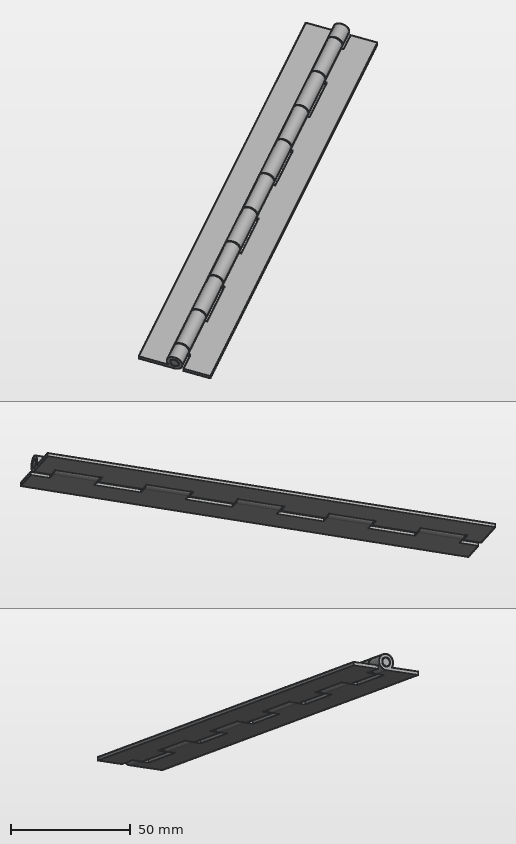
import cadquery as cq

hinge_length = 200.0
hinge_width = 32.0
leaf_thickness = 1.5
barrel_diameter = 7.0
bore_diameter = barrel_diameter - 2 * leaf_thickness
pin_clearance = 0.2
pin_diameter = bore_diameter - 2 * pin_clearance
barrel_radius = barrel_diameter / 2
axis_height = barrel_radius

full_knuckle_count = 9
full_knuckle_length = 20.0
knuckle_gap = 0.4
knuckle_pitch = full_knuckle_length + knuckle_gap
end_knuckle_length = (hinge_length - full_knuckle_count * knuckle_pitch - knuckle_gap) / 2

window_clearance = 0.5
window_edge = barrel_radius + window_clearance


def block(x_start, x_end, y_start, y_end):
    """Flat piece of leaf lying on the Z = 0 plane."""
    return (
        cq.Workplane("XY")
        .box(x_end - x_start, y_end - y_start, leaf_thickness, centered=False)
        .translate((x_start, y_start, 0))
    )


def rod(diameter, y_start, y_end):
    """Cylinder on the hinge axis."""
    return (
        cq.Workplane("XZ", origin=(0, y_start, axis_height))
        .circle(diameter / 2)
        .extrude(y_start - y_end)
    )


def knuckle_spans():
    """Y start and end of every knuckle, from the -Y end to the +Y end."""
    half_length = hinge_length / 2
    spans = [(-half_length, -half_length + end_knuckle_length)]
    first_start = spans[0][1] + knuckle_gap
    for index in range(full_knuckle_count):
        start = first_start + index * knuckle_pitch
        spans.append((start, start + full_knuckle_length))
    spans.append((half_length - end_knuckle_length, half_length))
    return spans


def make_leaf(spans):
    """Leaf on the -X side: a flat plate whose edge rolls up into the given knuckles."""
    half_length = hinge_length / 2
    leaf = block(-hinge_width / 2, -window_edge, -half_length, half_length)
    for start, end in spans:
        tongue = block(-window_edge, 0, start, end)
        leaf = leaf.union(tongue).union(rod(barrel_diameter, start, end))
    return leaf.cut(rod(bore_diameter, -half_length, half_length))


all_spans = knuckle_spans()
left_leaf = make_leaf(all_spans[0::2])
right_leaf = make_leaf(all_spans[1::2]).mirror("YZ")

pin = rod(pin_diameter, -hinge_length / 2, hinge_length / 2)

result = cq.Compound.makeCompound([left_leaf.val(), right_leaf.val(), pin.val()])